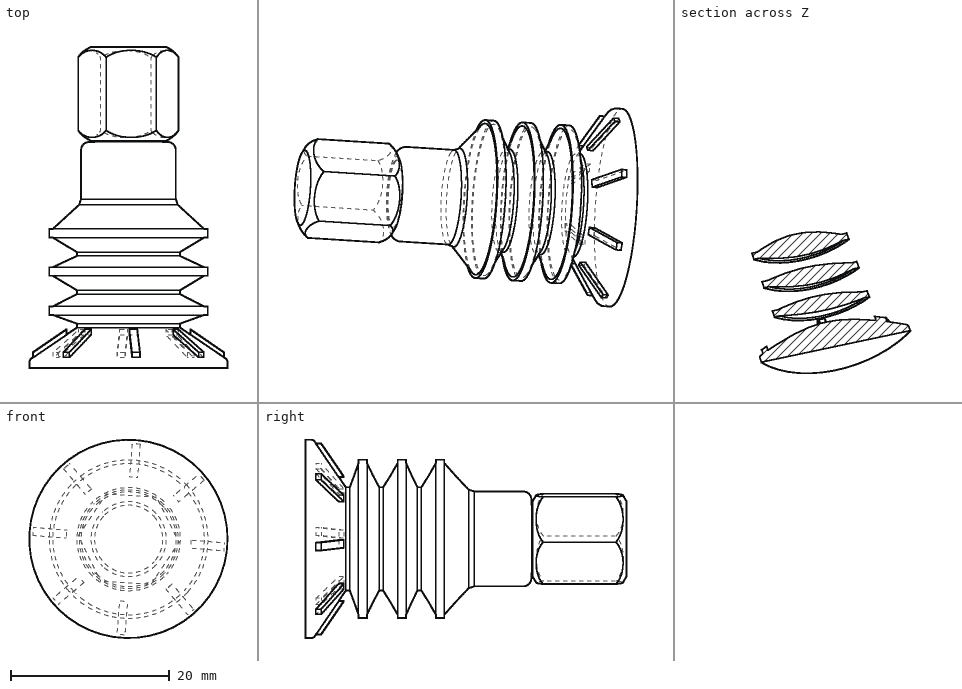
import cadquery as cq
import math

TOTAL_LENGTH = 40.5
TWIST = 3.7

LIP_RADIUS = 12.5
LIP_RIM_WIDTH = 0.73
SKIRT_START = 1.17
SKIRT_RADIUS = 12.3

THROAT_RADIUS = 6.5
THROAT_WIDTH = 0.5
THROAT_STARTS = (5.1, 9.3, 14.13)
RING_RADIUS = 10.0
RING_WIDTH = 1.1
RING_STARTS = (6.68, 11.6, 16.45)
FOLD_RADIUS = 9.55

BODY_RADIUS = 6.0
BODY_START = 21.3
BODY_END = 28.5
BODY_ROUNDING = 1.05
SHOULDER_START = 20.55
SHOULDER_RADIUS = 6.25
NECK_RADIUS = 4.3

HEX_CORNER_RADIUS = 6.35
HEX_START = 28.6
HEX_END_RADIUS = 4.75
HEX_ROUNDING_DEPTH = 1.35
HEX_FLAT_DEPTH = 0.45

RIB_COUNT = 8
RIB_TWIST = 4.6
RIB_WIDTH = 1.0
RIB_INNER_RADIUS = 7.85
RIB_OUTER_RADIUS = 12.05
RIB_TOP = 4.85
RIB_SHOULDER = 2.0
RIB_ROOT = 0.8


def revolve_about_y(profile):
    return profile.close().revolve(360, (0, 0, 0), (0, 1, 0))


def make_cup():
    """Lip, skirt, bellows, body and neck as one turned shape."""
    profile = (
        cq.Workplane("XY")
        .moveTo(0, 0)
        .lineTo(LIP_RADIUS, 0)
        .lineTo(LIP_RADIUS, LIP_RIM_WIDTH)
        .tangentArcPoint((SKIRT_RADIUS, SKIRT_START), relative=False)
    )
    for throat, ring in zip(THROAT_STARTS, RING_STARTS):
        profile = (
            profile
            .lineTo(THROAT_RADIUS, throat)
            .lineTo(THROAT_RADIUS, throat + THROAT_WIDTH)
            .lineTo(FOLD_RADIUS, ring)
            .lineTo(RING_RADIUS, ring)
            .lineTo(RING_RADIUS, ring + RING_WIDTH)
            .lineTo(FOLD_RADIUS, ring + RING_WIDTH)
        )
    rounding_middle = BODY_ROUNDING * (1 - math.sqrt(0.5))
    profile = (
        profile
        .lineTo(SHOULDER_RADIUS, SHOULDER_START)
        .lineTo(BODY_RADIUS, BODY_START)
        .lineTo(BODY_RADIUS, BODY_END - BODY_ROUNDING)
        .threePointArc(
            (BODY_RADIUS - rounding_middle, BODY_END - rounding_middle),
            (BODY_RADIUS - BODY_ROUNDING, BODY_END),
        )
        .lineTo(NECK_RADIUS, BODY_END)
        .lineTo(NECK_RADIUS, HEX_START)
        .lineTo(0, HEX_START)
    )
    return revolve_about_y(profile)


def make_hex_head():
    """Hexagonal prism with both ends rounded by a turned envelope."""
    prism = (
        cq.Workplane("XZ", origin=(0, HEX_START, 0))
        .polygon(6, 2 * HEX_CORNER_RADIUS)
        .extrude(HEX_START - TOTAL_LENGTH)
        .rotate((0, 0, 0), (0, 1, 0), TWIST)
    )
    flat_radius = HEX_CORNER_RADIUS * math.cos(math.pi / 6)
    envelope = revolve_about_y(
        cq.Workplane("XY")
        .moveTo(0, HEX_START)
        .lineTo(HEX_END_RADIUS, HEX_START)
        .threePointArc(
            (flat_radius, HEX_START + HEX_FLAT_DEPTH),
            (HEX_CORNER_RADIUS, HEX_START + HEX_ROUNDING_DEPTH),
        )
        .lineTo(HEX_CORNER_RADIUS, TOTAL_LENGTH - HEX_ROUNDING_DEPTH)
        .threePointArc(
            (flat_radius, TOTAL_LENGTH - HEX_FLAT_DEPTH),
            (HEX_END_RADIUS, TOTAL_LENGTH),
        )
        .lineTo(0, TOTAL_LENGTH)
    )
    return prism.intersect(envelope)


def make_rib(angle):
    """One sloping rib, turned clockwise from +Z by the given angle."""
    return (
        cq.Workplane("YZ")
        .polyline([
            (RIB_ROOT, RIB_INNER_RADIUS),
            (RIB_TOP, RIB_INNER_RADIUS),
            (RIB_SHOULDER, RIB_OUTER_RADIUS),
            (RIB_ROOT, RIB_OUTER_RADIUS),
        ])
        .close()
        .extrude(RIB_WIDTH / 2, both=True)
        .rotate((0, 0, 0), (0, 1, 0), angle)
    )


result = make_cup().union(make_hex_head())
for index in range(RIB_COUNT):
    result = result.union(make_rib(RIB_TWIST + index * 360 / RIB_COUNT))